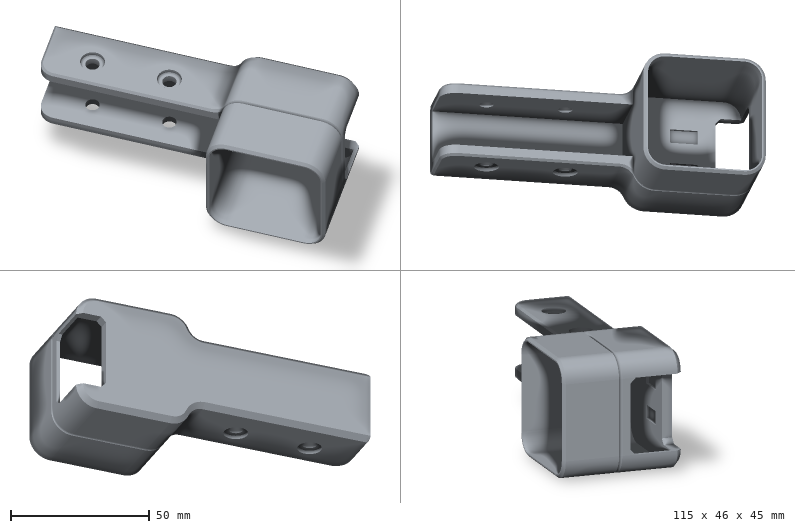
import math

import cadquery as cq

length = 115.0
depth = 46.0
box_size = 45.0
box_corner_radius = 8.0
box_left = length - box_size
box_center = length - box_size / 2

sleeve_depth = 22.0
body_depth = depth - sleeve_depth
wall = 1.5
floor_thickness = 4.0

arm_height = 28.1
arm_blend_radius = 6.0
arm_end_radius = 6.0
channel_height = 20.0

back_chamfer = 2.0
body_front_chamfer = 0.8
sleeve_back_chamfer = 0.5
sleeve_front_chamfer = 1.0

hole_diameter = 5.2
counterbore_diameter = 9.0
counterbore_depth = 1.4
hole_spacing = 29.0
first_hole_x = 18.0
hole_y = 32.0

opening_width = 10.9
opening_depth = 20.0
opening_height = box_size - 2 * box_corner_radius
opening_chamfer = 2.0

recess_length = 10.1
recess_height = 5.2
recess_spacing = 13.1
recess_depth = 1.2


def block(x_min, x_max, y_min, y_max, height):
    """Block centred on Z = 0."""
    size_x = x_max - x_min
    size_y = y_max - y_min
    center = ((x_min + x_max) / 2, (y_min + y_max) / 2, 0)
    return cq.Workplane("XY").box(size_x, size_y, height).translate(center)


def rounded_square(y_min, y_max, size, radius):
    """Square prism along Y, centred on the box, with rounded long edges."""
    half = size / 2
    prism = block(box_center - half, box_center + half, y_min, y_max, size)
    return prism.edges("|Y").fillet(radius)


def body_outline():
    """Box and arm outline in XZ, with an arc blending the arm into each box corner."""
    half_box = box_size / 2
    half_arm = arm_height / 2
    corner_x = box_left + box_corner_radius
    corner_z = half_box - box_corner_radius
    blend_z = half_arm + arm_blend_radius

    center_gap = box_corner_radius + arm_blend_radius
    joint_angle = math.asin((blend_z - corner_z) / center_gap)
    blend_x = corner_x - center_gap * math.cos(joint_angle)
    joint_x = corner_x - box_corner_radius * math.cos(joint_angle)
    joint_z = corner_z + box_corner_radius * math.sin(joint_angle)

    upper = (
        cq.Workplane("XZ", origin=(0, depth, 0))
        .moveTo(0, 0)
        .lineTo(0, half_arm)
        .lineTo(blend_x, half_arm)
        .tangentArcPoint((joint_x, joint_z), relative=False)
        .tangentArcPoint((corner_x, half_box), relative=False)
        .lineTo(length - box_corner_radius, half_box)
        .tangentArcPoint((length, corner_z), relative=False)
        .lineTo(length, 0)
    )
    return upper.mirrorX()


def make_body():
    """Box and solid arm in one piece, with broken outer edges."""
    body = body_outline().extrude(body_depth)
    body = body.edges("|Z and <X and <Y").fillet(arm_end_radius)
    body = body.faces(">Y").edges("not <X").chamfer(back_chamfer)
    flange_rims = body.faces("<Y").edges("not <X")
    flange_rims = flange_rims.add(body.edges("%CIRCLE and <X"))
    flange_rims = flange_rims.add(body.faces("<X").edges("|Y"))
    return flange_rims.chamfer(body_front_chamfer)


def make_sleeve():
    """Rounded square block in front of the body, with both rims broken."""
    sleeve = rounded_square(0, sleeve_depth, box_size, box_corner_radius)
    sleeve = sleeve.faces(">Y").chamfer(sleeve_back_chamfer)
    return sleeve.faces("<Y").chamfer(sleeve_front_chamfer)


def make_opening():
    """Cutter that passes through the floor and the right wall, with chamfered ends."""
    opening = block(
        length - opening_width, length + wall, depth - opening_depth, depth + wall, opening_height
    )
    return opening.edges("<X and |Y or (<Y and |X)").chamfer(opening_chamfer)


def cylinder(x, diameter, z_min, z_max):
    """Vertical cylinder on the line of the screw holes."""
    base = cq.Workplane("XY", origin=(x, hole_y, z_min))
    return base.circle(diameter / 2).extrude(z_max - z_min)


floor_y = depth - floor_thickness

result = make_body().union(make_sleeve())

result = result.cut(rounded_square(0, floor_y, box_size - 2 * wall, box_corner_radius - wall))
result = result.cut(block(0, box_left, 0, floor_y, channel_height))

result = result.cut(make_opening())

for side in (-1, 1):
    recess = block(
        box_center - recess_length / 2,
        box_center + recess_length / 2,
        floor_y,
        floor_y + recess_depth,
        recess_height,
    )
    result = result.cut(recess.translate((0, 0, side * recess_spacing / 2)))

flange_top = arm_height / 2
seat = flange_top - counterbore_depth
for hole_x in (first_hole_x, first_hole_x + hole_spacing):
    result = result.cut(cylinder(hole_x, hole_diameter, -flange_top, flange_top))
    result = result.cut(cylinder(hole_x, counterbore_diameter, seat, flange_top))
    result = result.cut(cylinder(hole_x, counterbore_diameter, -flange_top, -seat))